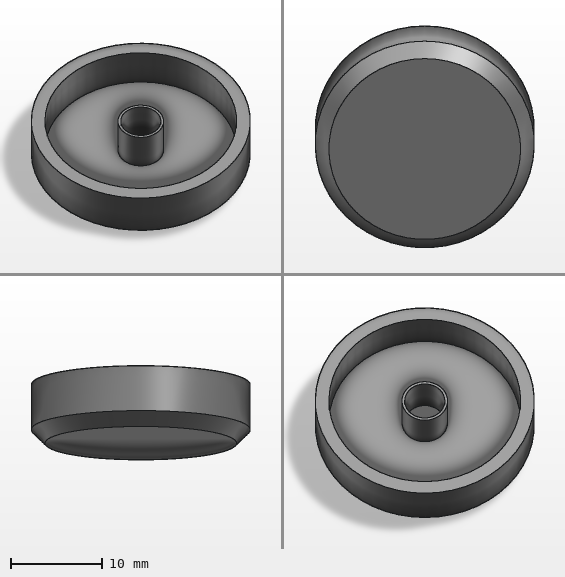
import cadquery as cq

outer_diameter = 24.0
height = 6.5
inner_diameter = 21.0
floor_thickness = 2.0
post_diameter = 5.0
post_bore_diameter = 4.4
post_recess = 0.1

wall_thickness = (outer_diameter - inner_diameter) / 2
cavity_depth = height - floor_thickness


def chamfered_disc():
    """Solid outer body, standing on Z = 0, with its bottom edge chamfered."""
    disc = cq.Workplane("XY").circle(outer_diameter / 2).extrude(height)
    return disc.faces("<Z").edges().chamfer(wall_thickness)


def cavity():
    """Round cavity inside the rim wall, open at the top."""
    return (
        cq.Workplane("XY", origin=(0, 0, floor_thickness))
        .circle(inner_diameter / 2)
        .extrude(cavity_depth)
    )


def hollow_post():
    """Central tube standing on the cavity floor, its bore ending level with that floor."""
    return (
        cq.Workplane("XY", origin=(0, 0, floor_thickness))
        .circle(post_diameter / 2)
        .circle(post_bore_diameter / 2)
        .extrude(cavity_depth - post_recess)
    )


result = chamfered_disc().cut(cavity()).union(hollow_post())